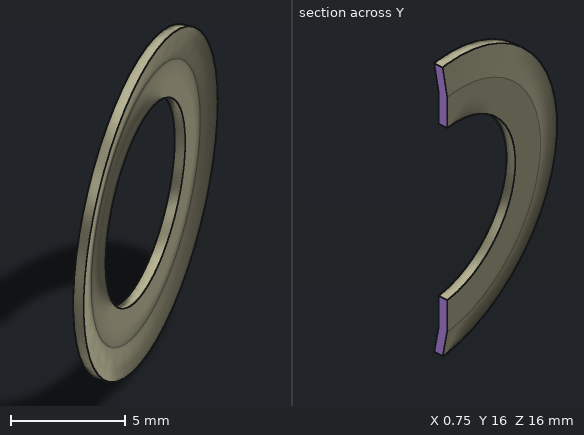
import cadquery as cq

outer_diameter = 16.0
flat_diameter = 13.0
hole_diameter = 9.5
overall_height = 0.75
sheet_thickness = 0.5

outer_radius = outer_diameter / 2
flat_radius = flat_diameter / 2
hole_radius = hole_diameter / 2
dish_depth = overall_height - sheet_thickness


def dished_washer():
    """Revolve the half section (X along the axis, Y as radius) about the X axis."""
    section = (
        cq.Workplane("XY")
        .moveTo(0, hole_radius)
        .lineTo(0, flat_radius)
        .lineTo(dish_depth, outer_radius)
        .lineTo(overall_height, outer_radius)
        .lineTo(sheet_thickness, flat_radius)
        .lineTo(sheet_thickness, hole_radius)
        .close()
    )
    return section.revolve(360, (0, 0, 0), (1, 0, 0))


result = dished_washer()